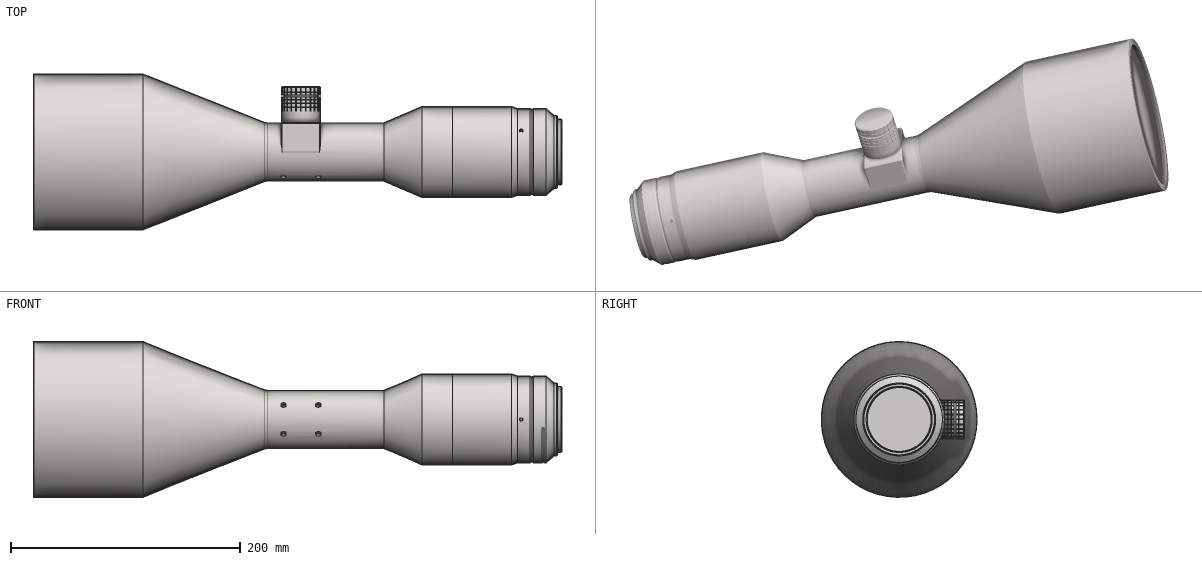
import cadquery as cq
import math

LENGTH = 461.0
OBJECTIVE_D = 136.0
OBJECTIVE_R = OBJECTIVE_D / 2

BELL_END = 95.5
CONE_END = 201.5
COLLAR_END = 204.0
COLLAR_R = 26.0
TUBE_R = 25.5
TUBE_END = 305.5
REAR_CONE_END = 338.7
REAR_R = 39.5

LENS_R = 62.5
LENS_RECESS = 3.5
LENS_DOME = 2.8
LENS_SEAT = 14.0

RING_START = 365.5
RING_END = 417.0

EYEPIECE_R = 38.0
TAPER_END = 422.0
V_GROOVE_START = 433.0
V_GROOVE_WIDTH = 2.8
V_GROOVE_DEPTH = 1.0
CHAMFER_START = 447.0
LIP_START = 454.0
LIP_END = 457.0
LIP_R = 32.0
LIP_CHAMFER = 1.0
END_D = 57.5
END_R = END_D / 2
END_CHAMFER = 1.0
SLOT_X = 443.5
SLOT_WIDTH = 2.0
SLOT_DEPTH = 0.5
SLOT_TOP_Z = -7.5

INDEX_X = 425.5
INDEX_D = 2.8
INDEX_DEPTH = 2.0
INDEX_COUNT = 3

TURRET_X = 233.0
SADDLE_WIDTH = 34.5
SADDLE_END = 26.0
SADDLE_CHAMFER = 1.0
KNOB_R = 17.0
KNOB_TOP = 57.0
KNOB_CHAMFER = 1.0
KNURL_START = 36.0
CAP_GROOVE_WIDTH = 2.0
CAP_GROOVE_DEPTH = 2.5
KNURL_COUNT = 24
KNURL_WIDTH = 0.5
KNURL_DEPTH = 0.5
KNURL_PITCH = 3.0
RING_GROOVE_COUNT = 5
CAP_GROOVE_INDEX = 4

SCREW_SPACING = 30.5
SCREW_D = 4.5
SCREW_DEPTH = 3.5
SCREW_ANGLE = 30.0


def turned(points):
    """Solid of revolution about X from (x, radius) points that start and end on the axis."""
    return cq.Workplane("XY").polyline(points).close().revolve(360, (0, 0, 0), (1, 0, 0))


def radial_hole(x, angle, surface_r, diameter, depth):
    """Cutter for a hole aimed at the X axis; angle is measured from -Y towards +Z."""
    a = math.radians(angle)
    outward = cq.Vector(0, -math.cos(a), math.sin(a))
    start = outward * (surface_r - depth) + cq.Vector(x, 0, 0)
    return cq.Workplane(cq.Solid.makeCylinder(diameter / 2, 2 * depth, start, outward))


def make_lens():
    apex = LENS_RECESS - LENS_DOME

    sphere_r = (LENS_R**2 + LENS_DOME**2) / (2 * LENS_DOME)
    middle_r = LENS_R / 2
    arc_middle = (apex + sphere_r - math.sqrt(sphere_r**2 - middle_r**2), middle_r)
    return (
        cq.Workplane("XY")
        .moveTo(apex, 0)
        .threePointArc(arc_middle, (LENS_RECESS, LENS_R))
        .lineTo(LENS_SEAT, LENS_R)
        .lineTo(LENS_SEAT, 0)
        .close()
        .revolve(360, (0, 0, 0), (1, 0, 0))
    )


def make_saddle():
    return (
        cq.Workplane("XY")
        .box(SADDLE_WIDTH, SADDLE_END, 2 * TUBE_R, centered=(True, False, True))
        .edges("|Y or >Y").chamfer(SADDLE_CHAMFER)
        .translate((TURRET_X, 0, 0))
    )


def make_housing():
    housing = turned([
        (0, 0),
        (0, OBJECTIVE_R),
        (BELL_END, OBJECTIVE_R),
        (CONE_END, COLLAR_R),
        (COLLAR_END, TUBE_R),
        (TUBE_END, TUBE_R),
        (REAR_CONE_END, REAR_R),
        (RING_START, REAR_R),
        (RING_START, 0),
    ])
    housing = housing.union(make_saddle())
    housing = housing.cut(cq.Workplane("YZ").circle(LENS_R).extrude(LENS_SEAT))
    for side in (-1, 1):
        for angle in (-SCREW_ANGLE, SCREW_ANGLE):
            x = TURRET_X + side * SCREW_SPACING / 2
            housing = housing.cut(radial_hole(x, angle, TUBE_R, SCREW_D, SCREW_DEPTH))
    return housing


def make_magnification_ring():
    return cq.Workplane("YZ", origin=(RING_START, 0, 0)).circle(REAR_R).extrude(RING_END - RING_START)


def underside_slot():
    """Cutter for the shallow slot that runs around the underside only."""
    ring = (
        cq.Workplane("YZ", origin=(SLOT_X, 0, 0))
        .circle(REAR_R)
        .circle(EYEPIECE_R - SLOT_DEPTH)
        .extrude(SLOT_WIDTH)
    )
    below = (
        cq.Workplane("XY", origin=(SLOT_X, 0, SLOT_TOP_Z))
        .rect(2 * REAR_R, 2 * REAR_R)
        .extrude(-REAR_R)
    )
    return ring.intersect(below)


def make_eyepiece():
    eyepiece = turned([
        (RING_END, 0),
        (RING_END, REAR_R),
        (TAPER_END, EYEPIECE_R),
        (V_GROOVE_START, EYEPIECE_R),
        (V_GROOVE_START + V_GROOVE_WIDTH / 2, EYEPIECE_R - V_GROOVE_DEPTH),
        (V_GROOVE_START + V_GROOVE_WIDTH, EYEPIECE_R),
        (CHAMFER_START, EYEPIECE_R),
        (LIP_START, LIP_R),
        (LIP_END - LIP_CHAMFER, LIP_R),
        (LIP_END, LIP_R - LIP_CHAMFER),
        (LIP_END, END_R),
        (LENGTH - END_CHAMFER, END_R),
        (LENGTH, END_R - END_CHAMFER),
        (LENGTH, 0),
    ])
    eyepiece = eyepiece.cut(underside_slot())
    for i in range(INDEX_COUNT):
        angle = i * 360 / INDEX_COUNT
        eyepiece = eyepiece.cut(radial_hole(INDEX_X, angle, EYEPIECE_R, INDEX_D, INDEX_DEPTH))
    return eyepiece


def knob_disc(start, end, radius):
    """Disc about the knob axis between two Y positions."""
    base = cq.Vector(TURRET_X, start, 0)
    return cq.Workplane(cq.Solid.makeCylinder(radius, end - start, base, cq.Vector(0, 1, 0)))


def knob_groove(center, width, depth):
    outer = knob_disc(center - width / 2, center + width / 2, KNOB_R + depth)
    return outer.cut(knob_disc(center - width / 2, center + width / 2, KNOB_R - depth))


def make_knob():
    knob = knob_disc(SADDLE_END, KNOB_TOP, KNOB_R).faces(">Y").chamfer(KNOB_CHAMFER)

    knurl = (
        cq.Workplane("XY")
        .box(KNURL_WIDTH, KNOB_TOP - KNURL_START, 2 * KNURL_DEPTH, centered=(True, False, True))
        .translate((TURRET_X, KNURL_START, KNOB_R))
    )
    axis_start = (TURRET_X, 0, 0)
    axis_end = (TURRET_X, 1, 0)
    cutters = [
        knurl.rotate(axis_start, axis_end, i * 360 / KNURL_COUNT).val()
        for i in range(KNURL_COUNT)
    ]
    knob = knob.cut(cq.Workplane(cq.Compound.makeCompound(cutters)))

    for i in range(1, RING_GROOVE_COUNT + 1):
        y = KNURL_START + i * KNURL_PITCH
        if i == CAP_GROOVE_INDEX:
            groove = knob_groove(y, CAP_GROOVE_WIDTH, CAP_GROOVE_DEPTH)
        else:
            groove = knob_groove(y, KNURL_WIDTH, KNURL_DEPTH)
        knob = knob.cut(groove)
    return knob


housing = make_housing()
lens = make_lens()
magnification_ring = make_magnification_ring()
eyepiece = make_eyepiece()
knob = make_knob()

result = cq.Compound.makeCompound([
    housing.val(),
    lens.val(),
    magnification_ring.val(),
    eyepiece.val(),
    knob.val(),
])